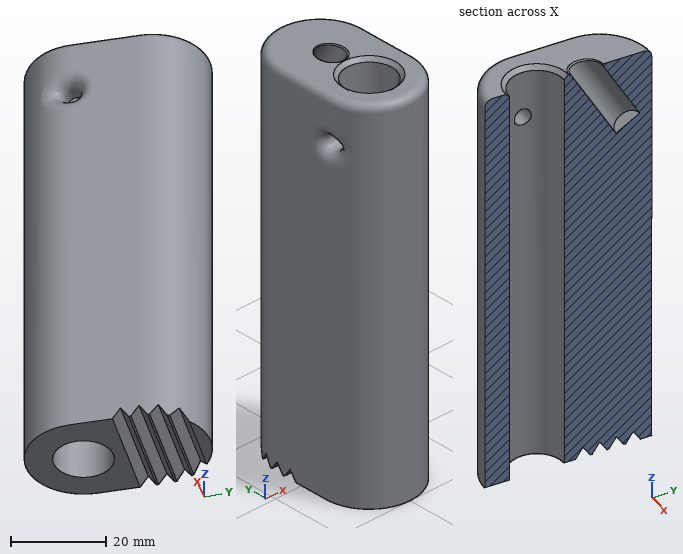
import cadquery as cq
import math

width = 25.0
depth = 40.0
height = 100.0
end_radius = width / 2
end_center_y = depth / 2 - end_radius
top_fillet = 2.0

bore_diameter = 13.0
bore_chamfer = 1.0

cross_diameter = 4.0
cross_drop = 12.5
cross_flare = 3.0

slant_diameter = 6.5
slant_depth = 20.0
slant_chamfer = 0.3
slant_angle = 30.0
slant_mouth_y = 4.2

notch_count = 4
notch_pitch = 4.0
notch_width = 3.5
notch_depth = 2.5
first_notch_y = 3.5


def make_body():
    return (
        cq.Workplane("XY")
        .slot2D(depth, width, 90)
        .extrude(height)
        .faces(">Z")
        .edges()
        .fillet(top_fillet)
    )


def cut_cross_hole(body):
    drill = (
        cq.Workplane("YZ")
        .center(-end_center_y, height - cross_drop)
        .circle(cross_diameter / 2)
        .extrude(width, both=True)
    )
    drilled = body.cut(drill)
    reach = 2 * cross_diameter
    mouth_zone = cq.selectors.BoxSelector(
        (-width, -end_center_y - reach, height - cross_drop - cross_diameter),
        (width, -end_center_y + reach, height - cross_drop + cross_diameter),
        boundingbox=True,
    )
    mouth_edges = drilled.edges(mouth_zone).edges("not(|X)")
    return drilled.newObject(mouth_edges.vals()).fillet(cross_flare)


def cut_main_bore(body):
    bore = (
        cq.Workplane("XY")
        .center(0, -end_center_y)
        .circle(bore_diameter / 2)
        .extrude(height)
    )
    mouth_radius = bore_diameter / 2 + bore_chamfer
    countersink = cq.Solid.makeCone(
        bore_diameter / 2,
        mouth_radius,
        bore_chamfer,
        cq.Vector(0, -end_center_y, height - bore_chamfer),
    )
    return body.cut(bore).cut(cq.Workplane(countersink))


def cut_slanted_hole(body):
    tilt = math.radians(slant_angle)
    axis = cq.Vector(0, math.sin(tilt), -math.cos(tilt))
    mouth = cq.Vector(0, slant_mouth_y, height)
    overrun = slant_diameter
    drill = cq.Solid.makeCylinder(
        slant_diameter / 2, slant_depth + overrun, mouth - axis * overrun, axis
    )
    drilled = body.cut(cq.Workplane(drill))
    rim = drilled.faces(">Z").edges(cq.selectors.NearestToPointSelector(mouth.toTuple()))
    return rim.chamfer(slant_chamfer)


def cut_notches(body):
    for index in range(notch_count):
        center_y = first_notch_y + index * notch_pitch
        notch = (
            cq.Workplane("YZ")
            .moveTo(center_y - notch_width / 2, 0)
            .lineTo(center_y, notch_depth)
            .lineTo(center_y + notch_width / 2, 0)
            .close()
            .extrude(width, both=True)
        )
        body = body.cut(notch)
    return body


body = make_body()
body = cut_cross_hole(body)
body = cut_slanted_hole(body)
body = cut_main_bore(body)
result = cut_notches(body)